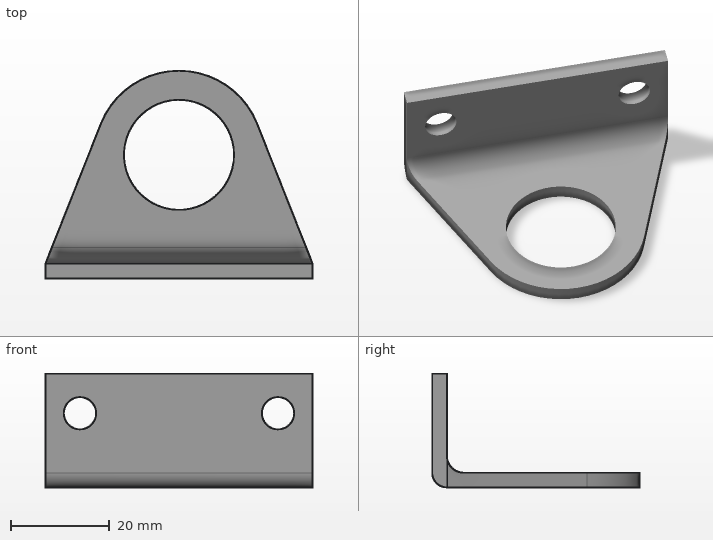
import cadquery as cq
import math

width = 54.0
depth = 42.0
height = 23.0
thickness = 3.0

inner_bend_radius = 3.35
outer_bend_radius = thickness

end_radius = 17.0
bore_diameter = 22.2
bore_y = depth - end_radius

mount_hole_diameter = 6.5
mount_hole_spacing = 40.0
mount_hole_z = 15.0


def bent_profile():
    """L-shaped strip across the full width, front face at Y = 0 and base at Z = 0."""
    strip = (
        cq.Workplane("YZ")
        .polyline([
            (0, 0),
            (depth, 0),
            (depth, thickness),
            (thickness, thickness),
            (thickness, height),
            (0, height),
        ])
        .close()
        .extrude(width / 2, both=True)
    )
    inner_corner = cq.selectors.NearestToPointSelector((0, thickness, thickness))
    outer_corner = cq.selectors.NearestToPointSelector((0, 0, 0))
    strip = strip.edges("|X").edges(inner_corner).fillet(inner_bend_radius)
    return strip.edges("|X").edges(outer_corner).fillet(outer_bend_radius)


def plan_outline():
    """Full-width front band whose sides taper tangentially into the rounded end."""
    half_width = width / 2
    rise = bore_y - thickness
    corner_distance = math.hypot(half_width, rise)
    tangent_angle = math.acos(end_radius / corner_distance) - math.atan2(rise, half_width)
    tangent_x = end_radius * math.cos(tangent_angle)
    tangent_y = bore_y + end_radius * math.sin(tangent_angle)
    return (
        cq.Workplane("XY")
        .moveTo(-half_width, 0)
        .lineTo(half_width, 0)
        .lineTo(half_width, thickness)
        .lineTo(tangent_x, tangent_y)
        .threePointArc((0, depth), (-tangent_x, tangent_y))
        .lineTo(-half_width, thickness)
        .close()
        .extrude(height)
    )


def bore():
    return cq.Workplane("XY").center(0, bore_y).circle(bore_diameter / 2).extrude(thickness)


def mount_holes():
    half_spacing = mount_hole_spacing / 2
    return (
        cq.Workplane("XZ")
        .pushPoints([(-half_spacing, mount_hole_z), (half_spacing, mount_hole_z)])
        .circle(mount_hole_diameter / 2)
        .extrude(-thickness)
    )


result = bent_profile().intersect(plan_outline()).cut(bore()).cut(mount_holes())